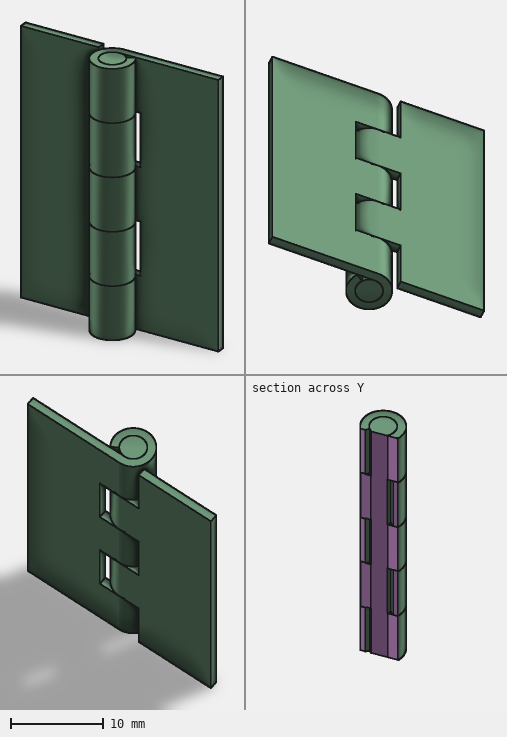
import cadquery as cq
import math

hinge_height = 33.0
open_width = 25.0
knuckle_radius = 2.5
sheet_thickness = 1.0
knuckle_count = 5
notch_reach = 2.65
curl_end_angle = 36.5

pin_radius = knuckle_radius - sheet_thickness
leaf_reach = open_width / 2
knuckle_length = hinge_height / knuckle_count


def polar_point(radius, degrees):
    angle = math.radians(degrees)
    return (radius * math.cos(angle), radius * math.sin(angle))


def make_knuckle(index):
    """Sheet strip running into a curl around the pin, ending in a radial cut."""
    middle_angle = 180 + curl_end_angle / 2
    return (
        cq.Workplane("XY", origin=(0, 0, index * knuckle_length))
        .moveTo(notch_reach, knuckle_radius)
        .lineTo(0, knuckle_radius)
        .threePointArc(
            polar_point(knuckle_radius, middle_angle),
            polar_point(knuckle_radius, curl_end_angle),
        )
        .lineTo(*polar_point(pin_radius, curl_end_angle))
        .threePointArc(polar_point(pin_radius, middle_angle), (0, pin_radius))
        .lineTo(notch_reach, pin_radius)
        .close()
        .extrude(knuckle_length)
    )


def make_leaf(first_knuckle):
    """Leaf on the +X side, with a knuckle at every second place along the pin."""
    leaf = cq.Workplane("XY").box(
        leaf_reach - notch_reach, sheet_thickness, hinge_height, centered=False
    ).translate((notch_reach, pin_radius, 0))
    for index in range(first_knuckle, knuckle_count, 2):
        leaf = leaf.union(make_knuckle(index))
    return leaf


def make_pin():
    return cq.Workplane("XY").circle(pin_radius).extrude(hinge_height)


right_leaf = make_leaf(first_knuckle=0)
left_leaf = make_leaf(first_knuckle=1).mirror("YZ")
pin = make_pin()

result = cq.Compound.makeCompound([right_leaf.val(), left_leaf.val(), pin.val()])